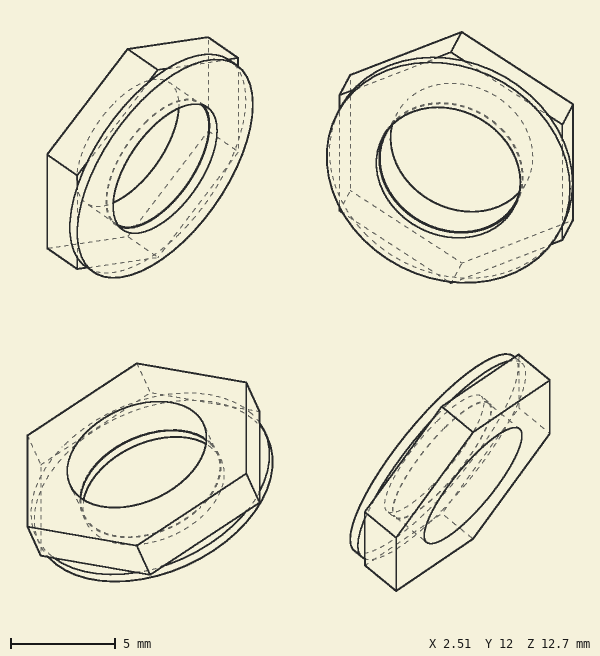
import cadquery as cq

nut_across_corners = 12.7
nut_thickness = 2.01
nut_bore_diameter = 7.0
washer_diameter = 12.0
washer_thickness = 0.5
washer_bore_diameter = 7.1


def make_nut():
    """Plain hexagonal nut with its outer face at X = 0."""
    hexagon = cq.Workplane("YZ").transformed(rotate=(0, 0, 90)).polygon(6, nut_across_corners)
    return hexagon.circle(nut_bore_diameter / 2).extrude(nut_thickness)


def make_washer():
    """Flat round washer lying against the +X face of the nut."""
    outline = cq.Workplane("YZ", origin=(nut_thickness, 0, 0)).circle(washer_diameter / 2)
    return outline.circle(washer_bore_diameter / 2).extrude(washer_thickness)


nut = make_nut()
washer = make_washer()

result = cq.Compound.makeCompound([nut.val(), washer.val()])